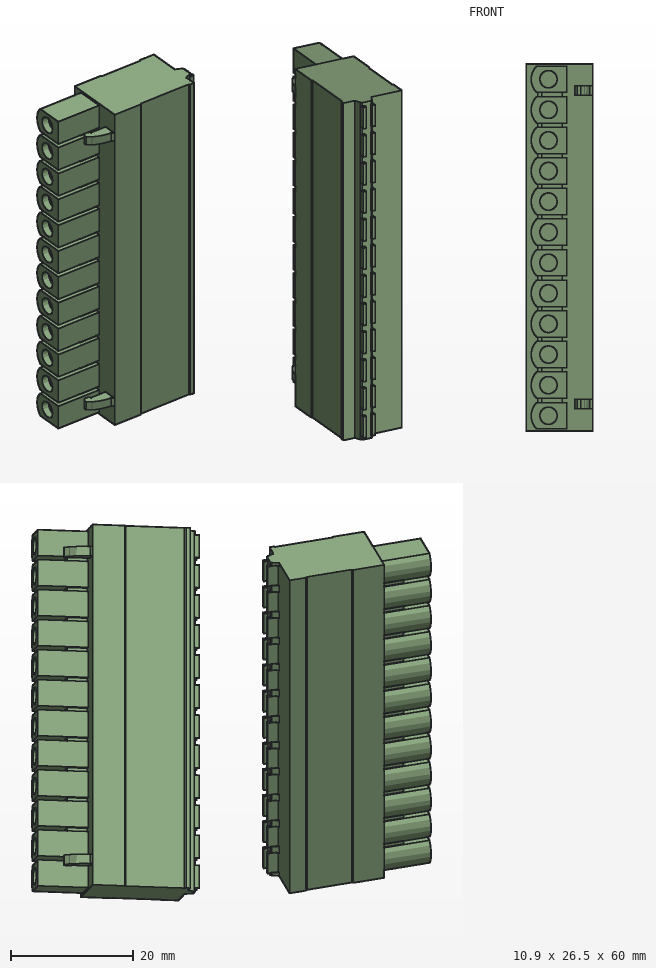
import cadquery as cq

WIDTH = 10.9
HEIGHT = 60.0
POLES = 12
PITCH = HEIGHT / POLES

PLUG_FRONT_Y = -13.25
HOUSING_FRONT_Y = -4.9
HOUSING_BACK_Y = 11.3
RIDGE_BACK_Y = 12.6
LEFT_WALL_BACK_Y = 13.15
RIGHT_WALL_BACK_Y = 13.25

RECESS_DEPTH = 0.2
RECESS_RAMP = 0.25
RECESS_FRONT_Y = 0.35
RECESS_BACK_LEFT_Y = 8.45
RECESS_BACK_RIGHT_Y = 10.55

RIDGE_BASE_X = (0.25, 3.35)
RIDGE_TOP_X = (0.7, 2.9)
RIDGE_CHAMFER = 0.25
CONTACT_HEIGHT = 3.8
LEFT_WALL_X = (0.6, 1.15)
RIGHT_WALL_X = (2.3, 2.8)

PLUG_LEFT_X = -4.6
PLUG_ARC_END_X = -3.7
PLUG_RIGHT_X = 1.2
PLUG_HEIGHT = 4.3
BORE_X = -1.8
BORE_DIAMETER = 2.8
BORE_DEPTH = 1.3
WEB_RIB_X = (-3.55, -2.9)
WEB_RIGHT_X = 0.4
WEB_RIB_FRONT_Y = -8.9
WEB_STEP = 0.6

LATCH_WIDTH = 1.55
LATCH_Z = 25.6
LATCH_TIP_Y = -9.3
LATCH_LEFT_X = 2.95
LATCH_TIP_RIGHT_X = 3.5
LATCH_ROOT_X = 5.4
LATCH_BULGE_START_Y = -7.85
LATCH_BULGE_PEAK = (2.5, -8.5)
LATCH_ARC_START = (4.0, -8.6)
LATCH_ARC_MIDDLE = (4.7, -7.1)
LATCH_ARC_END = (5.0, -5.3)

POLE_HEIGHTS = [(i - (POLES - 1) / 2) * PITCH for i in range(POLES)]
GAP_HEIGHTS = [(i - POLES / 2) * PITCH for i in range(1, POLES)]


def block(x_range, y_range, z_center, height):
    """Box spanning the given X and Y ranges, centred on a height."""
    x_min, x_max = x_range
    y_min, y_max = y_range
    return (
        cq.Workplane("XY", origin=(0, 0, z_center - height / 2))
        .moveTo(x_min, y_min)
        .lineTo(x_max, y_min)
        .lineTo(x_max, y_max)
        .lineTo(x_min, y_max)
        .close()
        .extrude(height)
    )


def make_housing():
    """Full-height housing with its side recesses and tapered back ridge."""
    side = WIDTH / 2
    waist = side - RECESS_DEPTH
    outline = [
        (-side, HOUSING_FRONT_Y),
        (side, HOUSING_FRONT_Y),
        (side, RECESS_FRONT_Y),
        (waist, RECESS_FRONT_Y + RECESS_RAMP),
        (waist, RECESS_BACK_RIGHT_Y - RECESS_RAMP),
        (side, RECESS_BACK_RIGHT_Y),
        (side, HOUSING_BACK_Y),
        (RIDGE_BASE_X[1], HOUSING_BACK_Y),
        (RIDGE_TOP_X[1], RIDGE_BACK_Y - RIDGE_CHAMFER),
        (RIDGE_TOP_X[1] - RIDGE_CHAMFER, RIDGE_BACK_Y),
        (RIDGE_TOP_X[0] + RIDGE_CHAMFER, RIDGE_BACK_Y),
        (RIDGE_TOP_X[0], RIDGE_BACK_Y - RIDGE_CHAMFER),
        (RIDGE_BASE_X[0], HOUSING_BACK_Y),
        (-side, HOUSING_BACK_Y),
        (-side, RECESS_BACK_LEFT_Y),
        (-waist, RECESS_BACK_LEFT_Y - RECESS_RAMP),
        (-waist, RECESS_FRONT_Y + RECESS_RAMP),
        (-side, RECESS_FRONT_Y),
    ]
    return (
        cq.Workplane("XY", origin=(0, 0, -HEIGHT / 2))
        .polyline(outline)
        .close()
        .extrude(HEIGHT)
    )


def contact_relief(z_center):
    """Space that trims the ridge slope flush with the left contact wall."""
    x_range = (RIDGE_BASE_X[0], LEFT_WALL_X[0])
    return block(x_range, (HOUSING_BACK_Y, RIDGE_BACK_Y), z_center, CONTACT_HEIGHT)


def contact_wall(x_range, back_y, z_center):
    """Upright wall on the back, standing slightly above the ridge."""
    return block(x_range, (HOUSING_BACK_Y, back_y), z_center, CONTACT_HEIGHT)


def plug(z_center):
    """Front plug with a rounded left side."""
    half = PLUG_HEIGHT / 2
    return (
        cq.Workplane("XZ", origin=(0, HOUSING_FRONT_Y, z_center))
        .moveTo(PLUG_RIGHT_X, -half)
        .lineTo(PLUG_RIGHT_X, half)
        .lineTo(PLUG_ARC_END_X, half)
        .threePointArc((PLUG_LEFT_X, 0), (PLUG_ARC_END_X, -half))
        .close()
        .extrude(HOUSING_FRONT_Y - PLUG_FRONT_Y)
    )


def bore(z_center):
    """Blind round hole entering a plug from its front face."""
    return (
        cq.Workplane("XZ", origin=(BORE_X, PLUG_FRONT_Y, z_center))
        .circle(BORE_DIAMETER / 2)
        .extrude(-BORE_DEPTH)
    )


def web(z_center):
    """Short web that fills the gap between neighbouring plugs, with a longer rib on its left."""
    gap = PITCH - PLUG_HEIGHT
    web_front_y = WEB_RIB_FRONT_Y + WEB_STEP
    rib = block(WEB_RIB_X, (WEB_RIB_FRONT_Y, HOUSING_FRONT_Y), z_center, gap)
    panel = block((WEB_RIB_X[1], WEB_RIGHT_X), (web_front_y, HOUSING_FRONT_Y), z_center, gap)
    return rib.union(panel)


def latch(z_center):
    """Hooked arm with a bulged tip and a curved outer side."""
    return (
        cq.Workplane("XY", origin=(0, 0, z_center - LATCH_WIDTH / 2))
        .moveTo(LATCH_LEFT_X, HOUSING_FRONT_Y)
        .lineTo(LATCH_LEFT_X, LATCH_BULGE_START_Y)
        .threePointArc(LATCH_BULGE_PEAK, (LATCH_LEFT_X, LATCH_TIP_Y))
        .lineTo(LATCH_TIP_RIGHT_X, LATCH_TIP_Y)
        .lineTo(*LATCH_ARC_START)
        .threePointArc(LATCH_ARC_MIDDLE, LATCH_ARC_END)
        .lineTo(LATCH_ROOT_X, HOUSING_FRONT_Y)
        .close()
        .extrude(LATCH_WIDTH)
    )


result = make_housing()
for z in POLE_HEIGHTS:
    result = result.cut(contact_relief(z))
    result = result.union(contact_wall(LEFT_WALL_X, LEFT_WALL_BACK_Y, z))
    result = result.union(contact_wall(RIGHT_WALL_X, RIGHT_WALL_BACK_Y, z))
    result = result.union(plug(z)).cut(bore(z))
for z in GAP_HEIGHTS:
    result = result.union(web(z))
for z in (-LATCH_Z, LATCH_Z):
    result = result.union(latch(z))